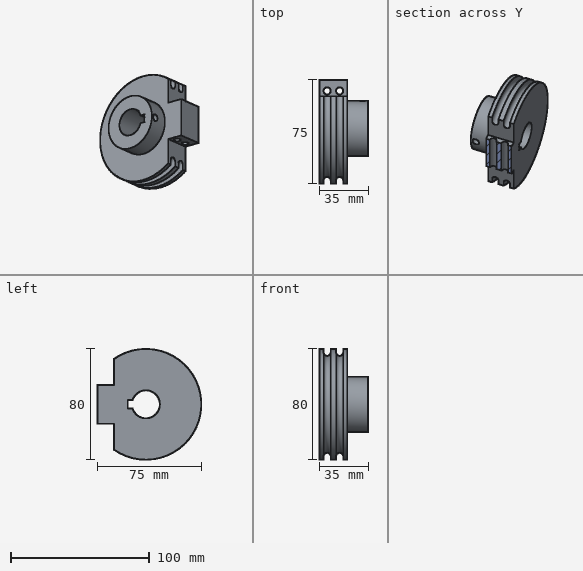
import cadquery as cq

disc_radius = 40.0
disc_width = 20.0
flat_offset = 23.0

groove_width = 5.0
groove_depth = 5.0
groove_spacing = 9.0
groove_centers = [disc_width / 2 + side * groove_spacing / 2 for side in (-1, 1)]

hub_radius = 20.0
hub_length = 15.0
total_length = disc_width + hub_length

bore_radius = 10.0
keyway_width = 6.0
keyway_reach = 13.0

screw_hole_diameter = 5.0
screw_hole_x = 31.0

block_reach = 35.0
block_height = 28.0
rope_hole_diameter = 5.0
rope_hole_offset = 27.0


def x_box(length, y_start, y_end, height):
    """Box from X = 0, spanning y_start to y_end and centered on Z = 0."""
    return (
        cq.Workplane("XY")
        .box(length, y_end - y_start, height, centered=(False, False, True))
        .translate((0, y_start, 0))
    )


def groove_cutter(x_center):
    """Ring with a U-shaped section, revolved about the X axis."""
    half_width = groove_width / 2
    floor_radius = disc_radius - groove_depth
    arc_start_radius = floor_radius + half_width
    return (
        cq.Workplane("XY")
        .moveTo(x_center - half_width, disc_radius)
        .lineTo(x_center - half_width, arc_start_radius)
        .threePointArc((x_center, floor_radius), (x_center + half_width, arc_start_radius))
        .lineTo(x_center + half_width, disc_radius)
        .close()
        .revolve(360, (0, 0, 0), (1, 0, 0))
    )


def grooved_disc():
    """Disc with both grooves, cut off by the flat on the +Y side."""
    disc = cq.Workplane("YZ").circle(disc_radius).extrude(disc_width)
    for x_center in groove_centers:
        disc = disc.cut(groove_cutter(x_center))
    return disc.cut(x_box(disc_width, flat_offset, disc_radius, 2 * disc_radius))


def clamping_block():
    """Block standing on the flat, rooted in the solid core of the disc."""
    return x_box(disc_width, hub_radius, block_reach, block_height)


def rope_holes():
    """Vertical holes through the block, one in line with each groove."""
    return (
        cq.Workplane("XY", origin=(0, 0, -block_height / 2))
        .pushPoints([(x_center, rope_hole_offset) for x_center in groove_centers])
        .circle(rope_hole_diameter / 2)
        .extrude(block_height)
    )


def keyed_bore():
    """Through bore with a keyway on the +Y side."""
    bore = cq.Workplane("YZ").circle(bore_radius).extrude(total_length)
    return bore.union(x_box(total_length, 0, keyway_reach, keyway_width))


def screw_hole():
    """Radial hole along +Y, from the bore axis out through the hub wall."""
    return (
        cq.Workplane("XZ", origin=(screw_hole_x, 0, 0))
        .circle(screw_hole_diameter / 2)
        .extrude(-hub_radius)
    )


hub = cq.Workplane("YZ").circle(hub_radius).extrude(total_length)
body = grooved_disc().union(hub).union(clamping_block())
result = body.cut(rope_holes()).cut(keyed_bore()).cut(screw_hole())